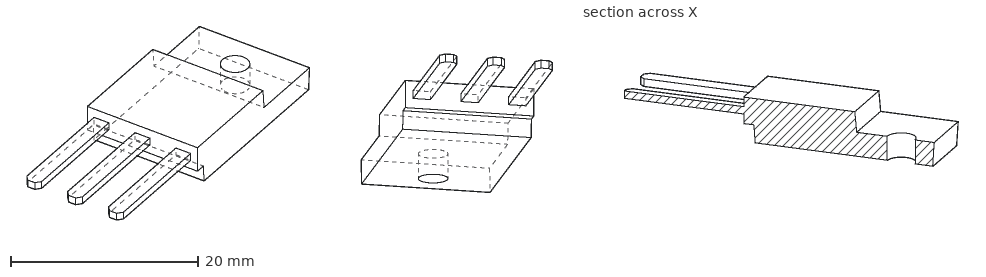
import cadquery as cq

width = 14.05
total_length = 35.5
height = 5.08

body_length = 21.85
tab_thickness = 2.77
tab_length = 8.88
step_lean = 0.2
ledge_height = 2.02
ledge_depth = 1.15
ledge_lean = 0.15
tab_end_lean = 0.18

hole_diameter = 3.15
hole_from_tab_end = 3.8

lead_count = 3
lead_pitch = 5.22
lead_width = 1.88
lead_thickness = 0.9
lead_center_height = 3.55
tip_length = 0.57
tip_inset = 0.5

tab_end_y = total_length
step_y = tab_end_y - tab_length
body_front_y = tab_end_y - body_length
ledge_y = body_front_y + ledge_depth


def make_body():
    """Side profile in the YZ plane, extruded across the full width."""
    profile = [
        (ledge_y + ledge_lean, 0),
        (tab_end_y - tab_end_lean, 0),
        (tab_end_y, tab_thickness),
        (step_y, tab_thickness),
        (step_y - step_lean, height),
        (body_front_y, height),
        (body_front_y, ledge_height),
        (ledge_y, ledge_height),
    ]
    return cq.Workplane("YZ").polyline(profile).close().extrude(width / 2, both=True)


def make_hole():
    """Round cutter through the mounting tab."""
    return (
        cq.Workplane("XY")
        .center(0, tab_end_y - hole_from_tab_end)
        .circle(hole_diameter / 2)
        .extrude(tab_thickness)
    )


def make_lead(x):
    """Flat lead with both corners of its tip cut off, ending on the body's front face."""
    half_width = lead_width / 2
    half_tip = half_width - tip_inset
    outline = [
        (x - half_width, body_front_y),
        (x - half_width, tip_length),
        (x - half_tip, 0),
        (x + half_tip, 0),
        (x + half_width, tip_length),
        (x + half_width, body_front_y),
    ]
    return (
        cq.Workplane("XY")
        .workplane(offset=lead_center_height - lead_thickness / 2)
        .polyline(outline)
        .close()
        .extrude(lead_thickness)
    )


result = make_body().cut(make_hole())
for index in range(lead_count):
    lead_x = (index - (lead_count - 1) / 2) * lead_pitch
    result = result.union(make_lead(lead_x))